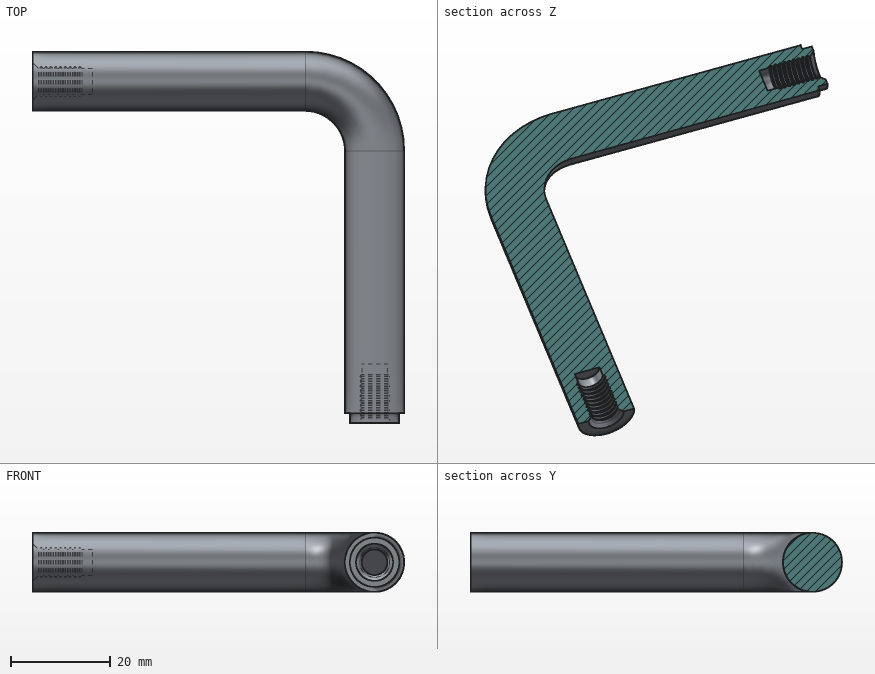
import cadquery as cq

overall = 75.0
bar_diameter = 12.0
bar_radius = bar_diameter / 2
bend_outer_radius = 20.0
bend_radius = bend_outer_radius - bar_radius

spigot_diameter = 10.0
spigot_length = 2.0

thread_minor_diameter = 5.2
thread_major_diameter = 6.0
thread_pitch = 1.0
crest_width = thread_pitch / 8
flank_width = (thread_pitch - 2 * crest_width) / 2
ridge_count = 9
countersink_diameter = 7.5
countersink_depth = 0.75
hole_depth = 12.0

axis_offset = overall - bar_radius
bend_start = overall - bend_outer_radius


def bent_bar():
    """Round bar running along +X, through a quarter bend, then along -Y to the spigot shoulder."""
    x_leg = cq.Workplane("YZ").center(axis_offset, 0).circle(bar_radius).extrude(bend_start)
    bend = (
        cq.Workplane("YZ", origin=(bend_start, axis_offset, 0))
        .circle(bar_radius)
        .revolve(90, (-bend_radius, 0.75, 0), (-bend_radius, -0.75, 0))
    )
    y_leg = (
        cq.Workplane("XZ", origin=(axis_offset, bend_start, 0))
        .circle(bar_radius)
        .extrude(bend_start - spigot_length)
    )
    return x_leg.union(bend).union(y_leg)


def spigot():
    """Reduced diameter that finishes the -Y end."""
    return (
        cq.Workplane("XZ", origin=(axis_offset, spigot_length, 0))
        .circle(spigot_diameter / 2)
        .extrude(spigot_length)
    )


def threaded_hole():
    """Solid of one hole, starting at the origin and running along +Y."""
    minor_radius = thread_minor_diameter / 2
    major_radius = thread_major_diameter / 2
    profile = (
        cq.Workplane("XY")
        .lineTo(countersink_diameter / 2, 0)
        .lineTo(major_radius, countersink_depth)
    )
    for index in range(ridge_count):
        crest_start = countersink_depth + index * thread_pitch + flank_width
        crest_end = crest_start + crest_width
        profile = profile.lineTo(minor_radius, crest_start)
        profile = profile.lineTo(minor_radius, crest_end)
        profile = profile.lineTo(major_radius, crest_end + flank_width)
        profile = profile.lineTo(major_radius, crest_end + flank_width + crest_width)
    thread_end = countersink_depth + ridge_count * thread_pitch
    profile = profile.lineTo(minor_radius, thread_end + flank_width)
    profile = profile.lineTo(minor_radius, hole_depth).lineTo(0, hole_depth).close()
    return profile.revolve(360, (0, 0, 0), (0, 1, 0))


y_end_hole = threaded_hole().translate((axis_offset, 0, 0))
x_end_hole = threaded_hole().rotate((0, 0, 0), (0, 0, 1), -90).translate((0, axis_offset, 0))

result = bent_bar().union(spigot()).cut(y_end_hole).cut(x_end_hole)